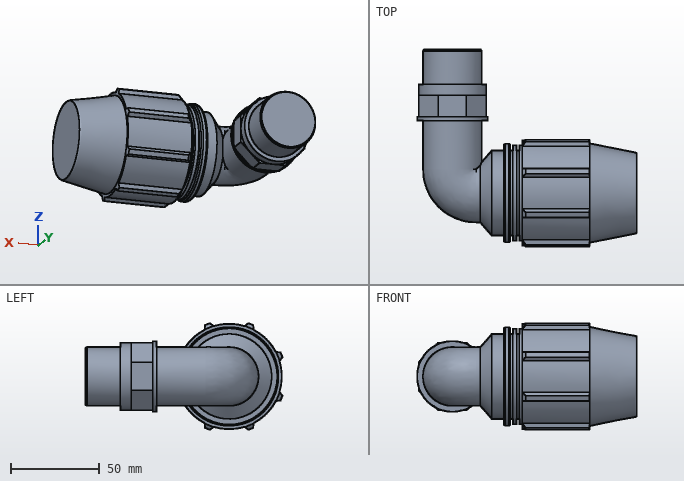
import cadquery as cq
import math


pipe_radius = 33.2 / 2
pipe_end_y = 81.0
pipe_chamfer_radial = 0.6
pipe_chamfer_axial = 1.0

bend_radius = 13.4

flange_radius = 39.9 / 2
flange_start_y = 40.8
octagon_across_flats = 38.2
octagon_start_y = 43.1
octagon_end_y = 55.0
octagon_side_count = 8
collar_radius = octagon_across_flats / 2
collar_end_y = 61.2

cone_start_x = 15.7
cone_end_x = 22.2
socket_radius = 48.0 / 2
bead_radius = 55.7 / 2
bead_start_x = 28.9
bead_end_x = 32.7
bead_bevel_radial = 0.7
bead_bevel_axial = 1.0
ring_radius = 54.0 / 2
ring_width = 2.1
ring_starts_x = (34.1, 37.8)

nut_radius = 29.7
nut_start_x = 39.3
nut_end_x = 77.5
sleeve_start_radius = 28.0
sleeve_end_radius = 22.9
overall_length = 124.0
sleeve_end_x = overall_length - flange_radius
sleeve_bevel_radial = 0.5
sleeve_bevel_axial = 1.0

rib_count = 8
rib_top_radius = 32.0
rib_base_radius = 29.0
rib_top_width = 3.0
rib_base_width = 6.2
rib_start_slope = 2.0
rib_end_slope = 0.5


def cylinder_on_y(radius, start_y, end_y):
    plane = cq.Workplane("XZ", origin=(0, start_y, 0))
    return plane.circle(radius).extrude(start_y - end_y)


def make_elbow():
    half_chord = math.sqrt(pipe_radius**2 - bend_radius**2)
    section = (
        cq.Workplane("XZ", origin=(0, bend_radius, 0))
        .moveTo(bend_radius, -half_chord)
        .threePointArc((-pipe_radius, 0), (bend_radius, half_chord))
        .close()
    )
    return section.revolve(90, (bend_radius, -1.2, 0), (bend_radius, 1.2, 0))


def make_male_pipe():
    chamfer_start_y = pipe_end_y - pipe_chamfer_axial
    tip_radius = pipe_radius - pipe_chamfer_radial
    return (
        cq.Workplane("XY")
        .moveTo(0, bend_radius)
        .lineTo(pipe_radius, bend_radius)
        .lineTo(pipe_radius, chamfer_start_y)
        .lineTo(tip_radius, pipe_end_y)
        .lineTo(0, pipe_end_y)
        .close()
        .revolve(360, (0, 0, 0), (0, 1, 0))
    )


def make_wrench_collar():
    flange = cylinder_on_y(flange_radius, flange_start_y, octagon_start_y)
    collar = cylinder_on_y(collar_radius, octagon_end_y, collar_end_y)
    corner_radius = octagon_across_flats / 2 / math.cos(math.pi / octagon_side_count)
    octagon = (
        cq.Workplane("XZ", origin=(0, octagon_start_y, 0))
        .transformed(rotate=(0, 0, 180 / octagon_side_count))
        .polygon(octagon_side_count, 2 * corner_radius)
        .extrude(octagon_start_y - octagon_end_y)
    )
    return flange.union(octagon).union(collar)


def revolve_about_x(points):
    return cq.Workplane("XY").polyline(points).close().revolve(360, (0, 0, 0), (1, 0, 0))


def make_socket():
    body = revolve_about_x([
        (bend_radius, 0),
        (bend_radius, pipe_radius),
        (cone_start_x, pipe_radius),
        (cone_end_x, socket_radius),
        (nut_start_x, socket_radius),
        (nut_start_x, 0),
    ])
    bead_edge_radius = bead_radius - bead_bevel_radial
    bead = revolve_about_x([
        (bead_start_x, 0),
        (bead_start_x, bead_edge_radius),
        (bead_start_x + bead_bevel_axial, bead_radius),
        (bead_end_x - bead_bevel_axial, bead_radius),
        (bead_end_x, bead_edge_radius),
        (bead_end_x, 0),
    ])
    socket = body.union(bead)
    for start_x in ring_starts_x:
        ring = cq.Workplane("YZ", origin=(start_x, 0, 0)).circle(ring_radius).extrude(ring_width)
        socket = socket.union(ring)
    return socket


def make_nut():
    return revolve_about_x([
        (nut_start_x, 0),
        (nut_start_x, nut_radius),
        (nut_end_x, nut_radius),
        (nut_end_x, sleeve_start_radius),
        (sleeve_end_x - sleeve_bevel_axial, sleeve_end_radius),
        (sleeve_end_x, sleeve_end_radius - sleeve_bevel_radial),
        (sleeve_end_x, 0),
    ])


def make_rib():
    cross_section = [
        (-rib_base_width / 2, rib_base_radius),
        (-rib_top_width / 2, rib_top_radius),
        (rib_top_width / 2, rib_top_radius),
        (rib_base_width / 2, rib_base_radius),
    ]
    bar = (
        cq.Workplane("YZ", origin=(nut_start_x, 0, 0))
        .polyline(cross_section)
        .close()
        .extrude(nut_end_x - nut_start_x)
    )
    side_outline = [
        (nut_start_x, rib_base_radius),
        (nut_start_x, nut_radius),
        (nut_start_x + rib_start_slope, rib_top_radius),
        (nut_end_x - rib_end_slope, rib_top_radius),
        (nut_end_x, nut_radius),
        (nut_end_x, rib_base_radius),
    ]
    side_shape = (
        cq.Workplane("XZ").polyline(side_outline).close().extrude(rib_base_width / 2, both=True)
    )
    return bar.intersect(side_shape)


result = make_elbow()
for fitting_part in (make_male_pipe(), make_wrench_collar(), make_socket(), make_nut()):
    result = result.union(fitting_part)

rib = make_rib()
rib_spacing = 360 / rib_count
for index in range(rib_count):
    rib_angle = (index + 0.5) * rib_spacing
    result = result.union(rib.rotate((0, 0, 0), (1, 0, 0), rib_angle))